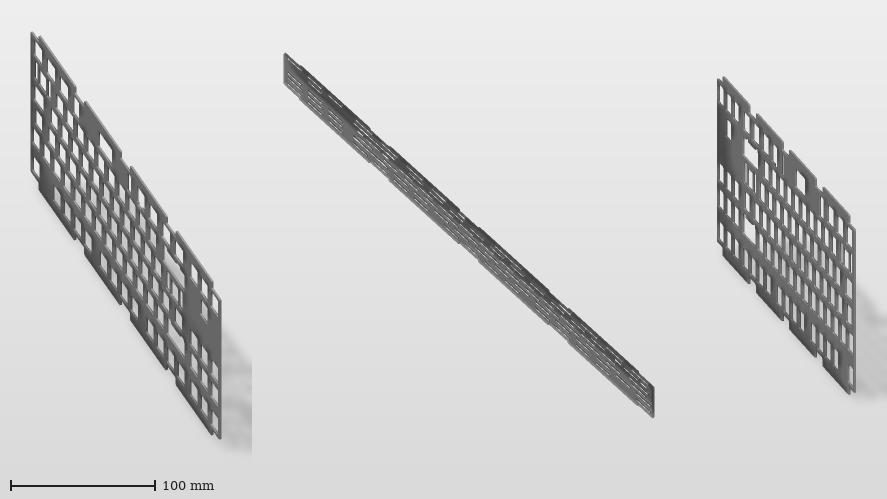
import cadquery as cq

THICKNESS = 1.5
PITCH = 19.05
LAYOUT_WIDTH_U = 18.25
LAYOUT_HEIGHT_U = 6.25
EDGE_CLEARANCE = 0.05

BODY_WIDTH = LAYOUT_WIDTH_U * PITCH - EDGE_CLEARANCE
BODY_HEIGHT = LAYOUT_HEIGHT_U * PITCH - EDGE_CLEARANCE
TOTAL_HEIGHT = 131.01
TAB_COUNT = 4
TAB_WIDTH = 66.05
TAB_GAP = 18.15
OUTLINE_RADIUS = 1.0

SWITCH_SIZE = 14.0
OPENING_RADIUS = 1.0

STAB_WIDTH = 7.0
STAB_HEIGHT = 16.0
STAB_OFFSET_2U = 11.94
STAB_OFFSET_SPACE_SHORT = 50.0
STAB_OFFSET_SPACE_LONG = 3 * PITCH
STAB_SHIFT = (STAB_HEIGHT - SWITCH_SIZE) / 2

SPACE_ROW = 5.75
SHIFT_ROW = 4.75
HOME_ROW = 3.75
TAB_ROW = 2.75
NUMBER_ROW = 1.75
FUNCTION_ROW = 0.5

SIDE_CLUSTER = [15.75, 16.75, 17.75]
ROW_KEYS = {
    SPACE_ROW: [10.625] + SIDE_CLUSTER,
    SHIFT_ROW: [1.125] + [2.75 + i for i in range(10)] + [SIDE_CLUSTER[1]],
    HOME_ROW: [2.25 + i for i in range(11)] + [13.875],
    TAB_ROW: [0.75] + [2.0 + i for i in range(12)] + [14.25] + SIDE_CLUSTER,
    NUMBER_ROW: [0.5 + i for i in range(13)] + SIDE_CLUSTER,
    FUNCTION_ROW: [0.5, 2.5, 3.5, 4.5, 5.5, 7, 8, 9, 10, 11.5, 12.5, 13.5, 14.5] + SIDE_CLUSTER,
}

SPACE_SHORT_CENTRE = 6.875
SPACE_LONG_CENTRE = 7.5

SHARED_OPENINGS = [
    (SPACE_ROW, 0.625, 0.75),
    (SPACE_ROW, 1.875, 2.0),
    (SPACE_ROW, 3.125, 3.25),
    (SPACE_ROW, SPACE_SHORT_CENTRE, SPACE_LONG_CENTRE),
    (SPACE_ROW, 11.75, 11.875),
    (SPACE_ROW, 13.0, 13.125),
    (SPACE_ROW, 14.25, 14.375),
    (SHIFT_ROW, 13.125, 14.5),
    (HOME_ROW, 0.625, 0.875),
    (NUMBER_ROW, 13.5, 14.5),
]

STABILIZED_KEYS = [
    (SHIFT_ROW, 1.125),
    (SHIFT_ROW, 13.625),
    (HOME_ROW, 13.875),
    (NUMBER_ROW, 14.0),
]


def layout_x(units):
    return (units - LAYOUT_WIDTH_U / 2) * PITCH


def layout_z(units):
    return (units - LAYOUT_HEIGHT_U / 2) * PITCH


def block(width, height, x, z):
    """Box through the plate thickness, centred at (x, z)."""
    return cq.Workplane("XY").box(width, THICKNESS, height).translate((x, 0, z))


def opening(width, height, x, z):
    """Cutter for an opening with rounded corners."""
    return block(width, height, x, z).edges("|Y").fillet(OPENING_RADIUS)


def make_plate():
    """Body with full-height blocks that form the tabs above and below it."""
    plate = block(BODY_WIDTH, BODY_HEIGHT, 0, 0)
    for i in range(TAB_COUNT):
        x = (i - (TAB_COUNT - 1) / 2) * (TAB_WIDTH + TAB_GAP)
        plate = plate.union(block(TAB_WIDTH, TOTAL_HEIGHT, x, 0))
    return plate.edges("|Y").fillet(OUTLINE_RADIUS)


def switch_opening(row, first, last):
    """Opening for a switch at any place between the two centres."""
    width = (last - first) * PITCH + SWITCH_SIZE
    return opening(width, SWITCH_SIZE, layout_x((first + last) / 2), layout_z(row))


def stabilizer_slots(row, centre, offset, shift):
    """Pair of slots beside a key, raised by shift relative to the row."""
    z = layout_z(row) + shift
    return [
        opening(STAB_WIDTH, STAB_HEIGHT, layout_x(centre) + side * offset, z)
        for side in (-1, 1)
    ]


def make_openings():
    openings = []
    for row, keys in ROW_KEYS.items():
        for key in keys:
            openings.append(switch_opening(row, key, key))
    for row, first, last in SHARED_OPENINGS:
        openings.append(switch_opening(row, first, last))
    for row, centre in STABILIZED_KEYS:
        openings += stabilizer_slots(row, centre, STAB_OFFSET_2U, STAB_SHIFT)
    openings += stabilizer_slots(SPACE_ROW, SPACE_SHORT_CENTRE, STAB_OFFSET_SPACE_SHORT, -STAB_SHIFT)
    openings += stabilizer_slots(SPACE_ROW, SPACE_LONG_CENTRE, STAB_OFFSET_SPACE_LONG, -STAB_SHIFT)
    return openings


cutters = [cutter.val() for cutter in make_openings()]
result = cq.Workplane(make_plate().val().cut(*cutters)).clean()